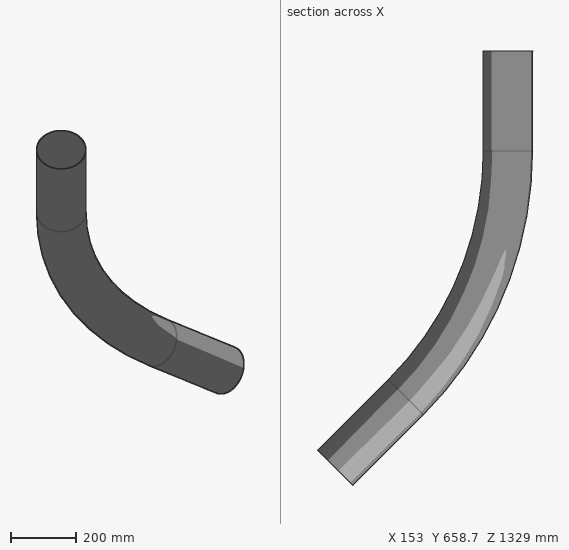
import cadquery as cq
import math

overall_height = 1329.0
outer_diameter = 153.0
inner_diameter = 149.0
straight_length = 305.0
bend_angle = math.radians(45)

rim_drop = outer_diameter / 2 * math.sin(bend_angle)
lower_straight_drop = straight_length * math.cos(bend_angle)
bend_drop = overall_height - straight_length - lower_straight_drop - rim_drop
bend_radius = bend_drop / math.sin(bend_angle)


def bend_point(turn):
    """Centreline point (Y, Z) after turning through the given angle in radians."""
    return (bend_radius * (1 - math.cos(turn)), -bend_radius * math.sin(turn))


bend_middle = bend_point(bend_angle / 2)
bend_end = bend_point(bend_angle)
lower_end = (
    bend_end[0] + straight_length * math.sin(bend_angle),
    bend_end[1] - lower_straight_drop,
)
centreline = (
    cq.Workplane("YZ")
    .moveTo(0, straight_length)
    .lineTo(0, 0)
    .threePointArc(bend_middle, bend_end)
    .lineTo(*lower_end)
)

result = (
    cq.Workplane("XY")
    .workplane(offset=straight_length)
    .circle(outer_diameter / 2)
    .circle(inner_diameter / 2)
    .sweep(centreline)
)